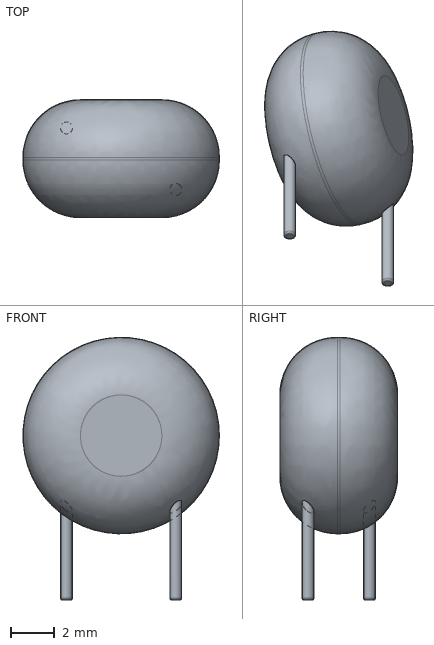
import cadquery as cq

body_diameter = 9.0
body_thickness = 5.4
rim_band_width = 0.13
rim_fillet = (body_thickness - rim_band_width) / 2
body_center_z = body_diameter / 2

overall_height = 12.03
lead_diameter = 0.54
lead_offset_x = 2.5
lead_offset_y = 1.41
lead_tip_fillet = 0.1
lead_bottom_z = body_diameter - overall_height
lead_length = body_center_z - lead_bottom_z


def make_body():
    """Disc with heavily rounded edges and a narrow straight band around the rim."""
    return (
        cq.Workplane("XZ", origin=(0, body_thickness / 2, body_center_z))
        .circle(body_diameter / 2)
        .extrude(body_thickness)
        .edges("%CIRCLE")
        .fillet(rim_fillet)
    )


def make_lead(x, y):
    """Round wire with a rounded lower tip, ending inside the body."""
    return (
        cq.Workplane("XY")
        .circle(lead_diameter / 2)
        .extrude(lead_length)
        .faces("<Z")
        .edges()
        .fillet(lead_tip_fillet)
        .translate((x, y, lead_bottom_z))
    )


result = make_body()
for side in (-1, 1):
    result = result.union(make_lead(side * lead_offset_x, -side * lead_offset_y))